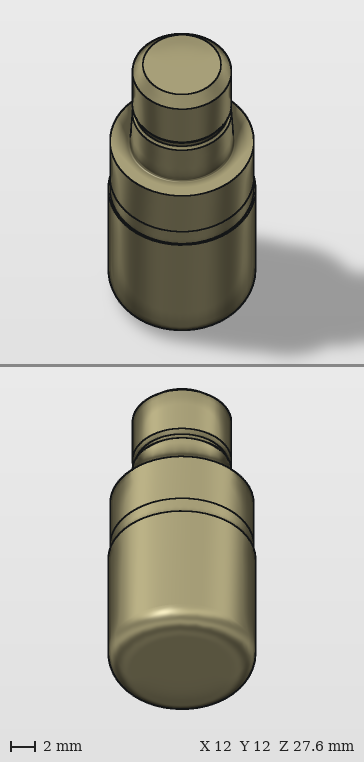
import cadquery as cq
import math

step_height = 12.0
joint_height = 13.5
shoulder_height = 18.0
total_height = 27.6

barrel_radius = 6.0
bottom_rounding = 2.0
collar_radius = 5.85

head_radius = 4.025
head_chamfer = 0.85
neck_bottom_radius = 4.2
neck_fillet = 0.25
groove_radius = 3.78
groove_top = 22.6
groove_top_bevel = 0.4
groove_floor_width = 0.4
groove_bottom_bevel = 0.22

diagonal = math.sqrt(0.5)


def revolve_about_z(half_profile):
    """Turn an outline of (radius, height) points into a solid of revolution around Z."""
    return half_profile.close().revolve(360, (0, 0, 0), (0, 1, 0))


def make_cap():
    flat_radius = barrel_radius - bottom_rounding
    rounding_midpoint = (
        flat_radius + bottom_rounding * diagonal,
        bottom_rounding * (1 - diagonal),
    )
    outline = (
        cq.Workplane("XZ")
        .lineTo(flat_radius, 0)
        .threePointArc(rounding_midpoint, (barrel_radius, bottom_rounding))
        .lineTo(barrel_radius, step_height)
        .lineTo(collar_radius, step_height)
        .lineTo(collar_radius, joint_height)
        .lineTo(0, joint_height)
    )
    return revolve_about_z(outline)


def make_stud():
    fillet_radius = neck_bottom_radius + neck_fillet
    fillet_top = shoulder_height + neck_fillet
    fillet_midpoint = (
        fillet_radius - neck_fillet * diagonal,
        fillet_top - neck_fillet * diagonal,
    )
    groove_floor_top = groove_top - groove_top_bevel
    groove_floor_bottom = groove_floor_top - groove_floor_width
    neck_top = groove_floor_bottom - groove_bottom_bevel
    outline = (
        cq.Workplane("XZ")
        .moveTo(0, joint_height)
        .lineTo(collar_radius, joint_height)
        .lineTo(collar_radius, shoulder_height)
        .lineTo(fillet_radius, shoulder_height)
        .threePointArc(fillet_midpoint, (neck_bottom_radius, fillet_top))
        .lineTo(head_radius, neck_top)
        .lineTo(groove_radius, groove_floor_bottom)
        .lineTo(groove_radius, groove_floor_top)
        .lineTo(head_radius, groove_top)
        .lineTo(head_radius, total_height - head_chamfer)
        .lineTo(head_radius - head_chamfer, total_height)
        .lineTo(0, total_height)
    )
    return revolve_about_z(outline)


cap = make_cap()
stud = make_stud()

result = cq.Compound.makeCompound([cap.val(), stud.val()])